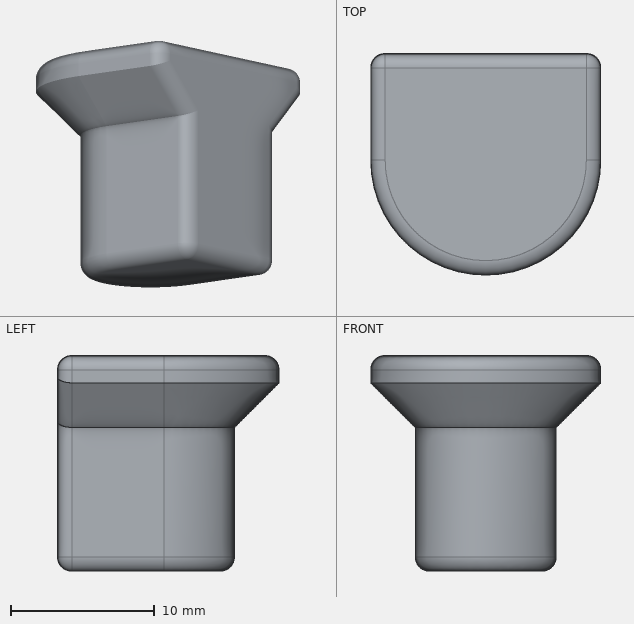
import cadquery as cq

head_width = 16.0
stem_width = 9.8
overall_depth = 15.4
overall_height = 15.0
stem_height = 10.0
edge_radius = 1.0

head_radius = head_width / 2
stem_radius = stem_width / 2
straight_depth = overall_depth - head_radius
flare_height = head_radius - stem_radius
head_underside = stem_height + flare_height


def half_profile():
    """Stem, flare and head on the +X side of the XZ plane, closed along the Z axis."""
    return (
        cq.Workplane("XZ")
        .lineTo(stem_radius, 0)
        .lineTo(stem_radius, stem_height)
        .lineTo(head_radius, head_underside)
        .lineTo(head_radius, overall_height)
        .lineTo(0, overall_height)
        .close()
    )


def round_front():
    """Profile revolved half a turn about Z, on the -Y side."""
    full_turn = half_profile().revolve(360, (0, 0), (0, 1))
    front_half = cq.Workplane("XY").box(
        head_width, head_radius, overall_height, centered=(True, False, False)
    ).translate((0, -head_radius, 0))
    return full_turn.intersect(front_half)


def straight_back():
    """Both halves of the profile extended from the round axis to the flat back."""
    right_half = half_profile().extrude(-straight_depth)
    return right_half.union(right_half.mirror("YZ"))


def round_edges(body):
    """Round the rim of the top, the rim of the bottom and the outline of the back."""
    return body.faces(">Z or <Z or >Y").edges().fillet(edge_radius)


result = round_edges(round_front().union(straight_back()).clean())